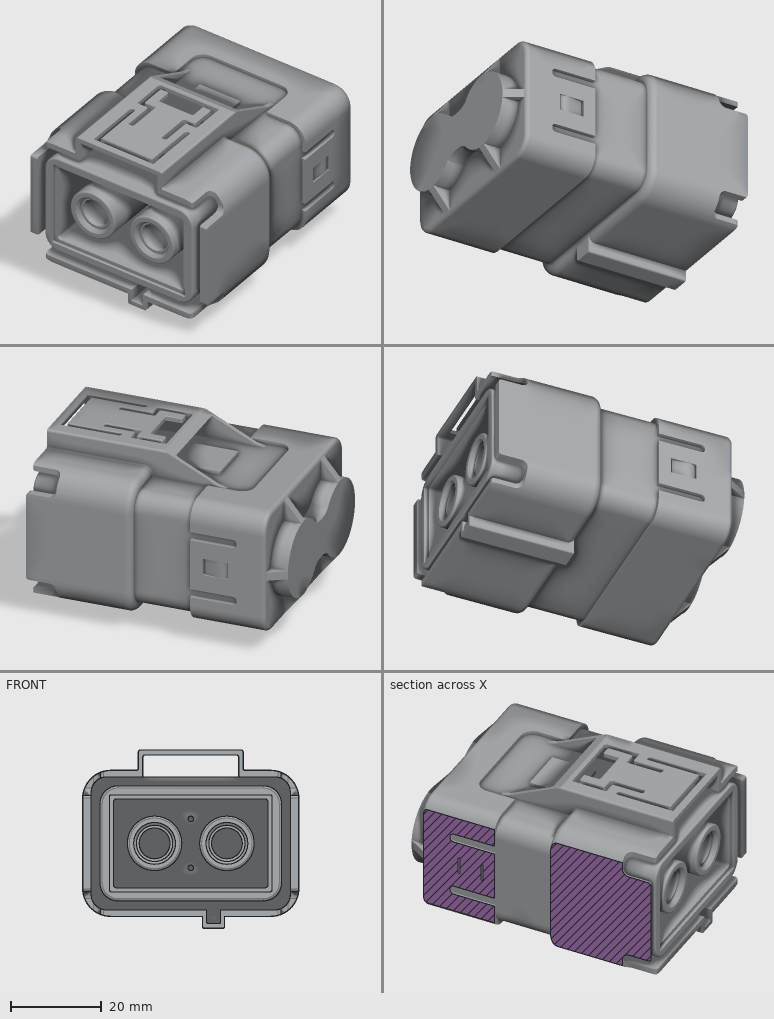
import cadquery as cq
import math


LENGTH = 60.7

SHELL_WIDTH = 47.8
SHELL_HEIGHT = 32.3
SHELL_LENGTH = 25.05
SHELL_CORNER = 6.3
SHELL_BACK_ROUND = 1.8
SHELL_GAP_WIDTH = 43.95
SHELL_GAP_HEIGHT = 29.4
SHELL_GAP_CORNER = 3.4
SHELL_GAP_DEPTH = 13.0

NOTCH_X = 19.9
NOTCH_Z = 10.6
NOTCH_DEPTH = 7.05
NOTCH_ROUND = 1.6
NOTCH_LIP_ROUND = 0.6

BODY_WIDTH = 43.95
BODY_HEIGHT = 27.45
BODY_CORNER = 3.95

TUBE_WIDTH = 40.05
TUBE_HEIGHT = 25.4
TUBE_CORNER = 3.95
TUBE_ROUND = 0.5
MOUTH_WIDTH = 35.95
MOUTH_HEIGHT = 21.35
MOUTH_DEPTH = 0.8
MOUTH_CORNER = 0.35
CAVITY_WIDTH = 34.1
CAVITY_HEIGHT = 19.65
CAVITY_CORNER = 0.7
CAVITY_DEPTH = SHELL_LENGTH

CONTACT_X = 7.98
CONTACT_DIAMETER = 12.0
CONTACT_FRONT = 1.2
CONTACT_ROUND = 0.4
SOCKET_DIAMETER = 8.0
SOCKET_DEPTH = 1.2
SOCKET_CHAMFER = 0.6
BORE_DIAMETER = 6.8
HOLE_DIAMETER = 1.2
HOLE_Z = 5.4
HOLE_DEPTH = 1.2

CAP_WIDTH = 46.15
CAP_HEIGHT = 29.4
CAP_FRONT = 38.7
CAP_BACK = 56.6
CAP_CORNER = 4.5
CAP_BACK_ROUND = 1.0
CAP_POCKET_WIDTH = 25.25
CAP_POCKET_BACK = 48.75
CAP_POCKET_CORNER = 3.05
CAP_SLOT_BACK = 49.85
CAP_SLOT_WIDTH = 2.0
CAP_SLOT_ROUND = 0.9
CAP_SLOT_Z = 7.05
WINDOW_FRONT = 41.7
WINDOW_BACK = 47.85
WINDOW_HEIGHT = 4.0
TOOTH_FRONT = 42.1
TOOTH_CREST = 45.45
TOOTH_BACK = 47.45
TOOTH_FRONT_HEIGHT = 0.5
TOOTH_HEIGHT = 1.0
TOOTH_BACK_HEIGHT = 0.65

OUTLET_X = 10.775
OUTLET_RADIUS = 9.0
WEB_FLAT_WIDTH = 1.2
WEB_HEIGHT = 9.2
WEB_WIDTH = 7.4
GUSSET_WIDTH = 2.0
GUSSET_SIDE_FOOT = 2.55
GUSSET_TOP_FOOT = 5.1

BRIDGE_WIDTH = 23.2
BRIDGE_TOP = 20.65
BRIDGE_WALL = 1.05
BRIDGE_PLATE = 1.15
BRIDGE_PLATE_END = 27.9
BRIDGE_WALL_END = 42.8
BRIDGE_BEND_Y = 40.55
BRIDGE_BEND_Z = 14.5
BRIDGE_WALL_BOTTOM = 13.95
PASSAGE_SILL_BACK = 17.25
BRIDGE_EDGE_ROUND = 0.55
BRIDGE_INNER_ROUND = 0.5
BRIDGE_FOOT_ROUND = 0.4

PAD_WIDTH = 10.9
PAD_FRONT = 27.85
PAD_TOP = 14.7

LATCH_HALF_WIDTH = 8.0
LATCH_GAP = 1.15
HEAD_BACK = 26.9
HEAD_FRONT = 18.45
EAR_BACK = 25.7
EAR_FRONT = 19.4
EAR_OUTER_X = 6.85
EAR_INNER_X = 4.6
HEAD_EDGE = 21.8
NECK_OUTER_X = 5.1
NECK_INNER_X = 3.8
NECK_FRONT = 10.85
FRAME_FRONT = 1.9
FRAME_BACK = 16.0
HEAD_CORNER = 0.35
FRAME_END_ROUND = 0.5
LATCH_EDGE_CHAMFER = 0.2

KEY_X = 5.05
KEY_WIDTH = 4.9
KEY_BOTTOM = -18.75
KEY_WALL = 0.9
KEY_FLOOR = 1.05
KEY_OUTER_ROUND = 0.4
KEY_INNER_ROUND = 0.4

SIDES = (-1, 1)
SELECT_MARGIN = 0.05
SHELL_TOP = SHELL_HEIGHT / 2
BODY_TOP = BODY_HEIGHT / 2


def block(x0, x1, y0, y1, z0, z1):
    return cq.Workplane("XY").box(x1 - x0, y1 - y0, z1 - z0, centered=False).translate((x0, y0, z0))


def sleeve(width, height, corner, y0, y1):
    """Rounded rectangle centred on the Y axis, from y0 to y1."""
    return block(-width / 2, width / 2, y0, y1, -height / 2, height / 2).edges("|Y").fillet(corner)


def rod(diameter, x, z, y0, y1):
    """Round bar along Y."""
    return cq.Workplane("XZ", origin=(x, y0, z)).circle(diameter / 2).extrude(y0 - y1)


def edges_near(x0, x1, y0, y1, z0, z1):
    """Selector for edges whose centre lies in the given box, widened by a small margin."""
    low = [min(pair) - SELECT_MARGIN for pair in ((x0, x1), (y0, y1), (z0, z1))]
    high = [max(pair) + SELECT_MARGIN for pair in ((x0, x1), (y0, y1), (z0, z1))]
    return cq.selectors.BoxSelector(low, high)


def make_notch(side_x, side_z):
    """Cutter for one shell corner, with its two rear edges rounded."""
    cutter = block(NOTCH_X, SHELL_WIDTH / 2, 0, NOTCH_DEPTH, NOTCH_Z, SHELL_TOP)
    cutter = cutter.faces(">Y").edges("<X or <Z").fillet(NOTCH_ROUND)
    if side_x < 0:
        cutter = cutter.mirror("YZ")
    if side_z < 0:
        cutter = cutter.mirror("XY")
    return cutter


def make_shell():
    shell = sleeve(SHELL_WIDTH, SHELL_HEIGHT, SHELL_CORNER, 0, SHELL_LENGTH)
    shell = shell.faces(">Y").edges().fillet(SHELL_BACK_ROUND)
    shell = shell.union(make_bridge())
    half = BRIDGE_WIDTH / 2
    foot = edges_near(-half, half, 0, SHELL_LENGTH, SHELL_TOP, SHELL_TOP)
    shell = shell.edges("|Y").edges(foot).fillet(BRIDGE_FOOT_ROUND)
    key = block(KEY_X - KEY_WIDTH / 2, KEY_X + KEY_WIDTH / 2, 0, SHELL_LENGTH, KEY_BOTTOM, -BODY_TOP)
    shell = shell.union(key.faces("<Z").edges("|Y").fillet(KEY_OUTER_ROUND))
    shell = shell.cut(sleeve(SHELL_GAP_WIDTH, SHELL_GAP_HEIGHT, SHELL_GAP_CORNER, 0, SHELL_GAP_DEPTH))
    key_half = KEY_WIDTH / 2 - KEY_WALL
    groove = block(KEY_X - key_half, KEY_X + key_half, 0, SHELL_GAP_DEPTH, KEY_BOTTOM + KEY_FLOOR, 0)
    shell = shell.cut(groove.faces("<Z").edges("|Y").fillet(KEY_INNER_ROUND))
    for side_x in SIDES:
        for side_z in SIDES:
            shell = shell.cut(make_notch(side_x, side_z))
    return round_notch_lips(shell)


def round_notch_lips(shell):
    """Round the front corners left between the notches and the mating face."""
    inner_x = SHELL_GAP_WIDTH / 2
    inner_z = SHELL_GAP_HEIGHT / 2 - NOTCH_LIP_ROUND
    for side_x in SIDES:
        for side_z in SIDES:
            x = side_x * NOTCH_X
            z = side_z * NOTCH_Z
            across_z = edges_near(x, x, 0, 0, side_z * inner_z, side_z * SHELL_TOP)
            across_x = edges_near(side_x * inner_x, side_x * SHELL_WIDTH / 2, 0, 0, z, z)
            shell = shell.edges(across_z + across_x).fillet(NOTCH_LIP_ROUND)
    return shell


def make_bridge():
    """Solid bridge whose rear part hangs clear of the body; the passage under it is cut later."""
    profile = [
        (0, 0),
        (0, BRIDGE_TOP),
        (BRIDGE_PLATE_END, BRIDGE_TOP),
        (BRIDGE_BEND_Y, BRIDGE_BEND_Z),
        (BRIDGE_WALL_END, BRIDGE_WALL_BOTTOM),
        (SHELL_LENGTH, BRIDGE_WALL_BOTTOM),
        (SHELL_LENGTH, 0),
    ]
    half = BRIDGE_WIDTH / 2
    bridge = cq.Workplane("YZ", origin=(-half, 0, 0)).polyline(profile).close().extrude(BRIDGE_WIDTH)
    return bridge.faces(">Z").edges("|Y").fillet(BRIDGE_EDGE_ROUND)


def make_passage():
    """Opening under the bridge plate, deeper behind a sill at the bottom of the shell gap."""
    half = BRIDGE_WIDTH / 2 - BRIDGE_WALL
    ceiling = BRIDGE_TOP - BRIDGE_PLATE
    passage = block(-half, half, 0, BRIDGE_WALL_END, SHELL_GAP_HEIGHT / 2, ceiling)
    passage = passage.faces(">Z").edges("|Y").fillet(BRIDGE_INNER_ROUND)
    rear = block(-half, half, PASSAGE_SILL_BACK, BRIDGE_WALL_END, BODY_TOP, ceiling - BRIDGE_INNER_ROUND)
    return passage.union(rear)


def make_latch_cut():
    """Gaps around the latch tongue: a T-shaped head gap and a U-shaped frame gap."""
    right = [
        (EAR_INNER_X, HEAD_EDGE),
        (EAR_INNER_X, EAR_BACK),
        (EAR_OUTER_X, EAR_BACK),
        (EAR_OUTER_X, EAR_FRONT),
        (NECK_INNER_X, EAR_FRONT),
        (NECK_INNER_X, NECK_FRONT),
        (NECK_OUTER_X, NECK_FRONT),
        (NECK_OUTER_X, HEAD_FRONT),
        (LATCH_HALF_WIDTH, HEAD_FRONT),
        (LATCH_HALF_WIDTH, HEAD_BACK),
    ]
    outline = right + [(-x, y) for x, y in reversed(right)]
    bottom = BRIDGE_TOP - BRIDGE_PLATE
    head = cq.Workplane("XY", origin=(0, 0, bottom)).polyline(outline).close().extrude(BRIDGE_PLATE)
    head = head.edges("|Z").fillet(HEAD_CORNER)
    inner = LATCH_HALF_WIDTH - LATCH_GAP
    frame = block(-LATCH_HALF_WIDTH, LATCH_HALF_WIDTH, FRAME_FRONT, FRAME_BACK, bottom, BRIDGE_TOP)
    frame = frame.cut(block(-inner, inner, FRAME_FRONT + LATCH_GAP, FRAME_BACK, bottom, BRIDGE_TOP))
    frame = frame.faces(">Y").edges("|Z").fillet(FRAME_END_ROUND)
    return head.union(frame)


def make_cap():
    cap = sleeve(CAP_WIDTH, CAP_HEIGHT, CAP_CORNER, CAP_FRONT, CAP_BACK)
    cap = cap.faces(">Y").edges().fillet(CAP_BACK_ROUND)
    half = CAP_POCKET_WIDTH / 2
    pocket = block(-half, half, CAP_FRONT, CAP_POCKET_BACK, BODY_TOP, CAP_HEIGHT)
    cap = cap.cut(pocket.faces(">Y").edges("|Z").fillet(CAP_POCKET_CORNER))
    for side in SIDES:
        outer = side * CAP_WIDTH / 2
        floor = side * BODY_WIDTH / 2
        x0, x1 = min(outer, floor), max(outer, floor)
        for z in (-CAP_SLOT_Z, CAP_SLOT_Z):
            half = CAP_SLOT_WIDTH / 2
            slot = block(x0, x1, CAP_FRONT, CAP_SLOT_BACK, z - half, z + half)
            cap = cap.cut(slot.faces(">Y").edges("|X").fillet(CAP_SLOT_ROUND))
        half = WINDOW_HEIGHT / 2
        cap = cap.cut(block(x0, x1, WINDOW_FRONT, WINDOW_BACK, -half, half))
        cap = cap.union(make_tooth(side))
    return cap


def make_tooth(side):
    """Latch tooth seen in the cap window, rounded down towards the cable end."""
    base = BODY_WIDTH / 2
    tooth = (
        cq.Workplane("XY", origin=(0, 0, -WINDOW_HEIGHT / 2))
        .moveTo(base, TOOTH_BACK)
        .lineTo(base, TOOTH_FRONT)
        .lineTo(base + TOOTH_FRONT_HEIGHT, TOOTH_FRONT)
        .lineTo(base + TOOTH_HEIGHT, TOOTH_CREST)
        .tangentArcPoint((base + TOOTH_BACK_HEIGHT, TOOTH_BACK), relative=False)
        .close()
        .extrude(WINDOW_HEIGHT)
    )
    return tooth if side > 0 else tooth.mirror("YZ")


def gusset(x, direction, foot):
    """Triangular rib leaning on an outlet; direction is its turn about Y in degrees."""
    rib = (
        cq.Workplane("XY", origin=(0, 0, -GUSSET_WIDTH / 2))
        .polyline([
            (0, CAP_BACK),
            (OUTLET_RADIUS + foot, CAP_BACK),
            (OUTLET_RADIUS, LENGTH),
            (0, LENGTH),
        ])
        .close()
        .extrude(GUSSET_WIDTH)
    )
    return rib.rotate((0, 0, 0), (0, 1, 0), direction).translate((x, 0, 0))


def make_outlets():
    """Two round outlets joined by a web that flares from a narrow flat up to both circles."""
    edge_x = WEB_WIDTH / 2
    edge_z = math.sqrt(OUTLET_RADIUS**2 - (OUTLET_X - edge_x) ** 2)
    flat = WEB_FLAT_WIDTH / 2
    top = WEB_HEIGHT / 2
    upper_web = (
        cq.Workplane("XZ", origin=(0, CAP_BACK, 0))
        .moveTo(0, 0)
        .lineTo(0, top)
        .lineTo(flat, top)
        .tangentArcPoint((edge_x, edge_z), relative=False)
        .lineTo(OUTLET_X, 0)
        .close()
        .extrude(CAP_BACK - LENGTH)
    )
    upper_web = upper_web.union(upper_web.mirror("YZ"))
    outlets = upper_web.union(upper_web.mirror("XY"))
    for side in SIDES:
        outlets = outlets.union(rod(2 * OUTLET_RADIUS, side * OUTLET_X, 0, CAP_BACK, LENGTH))
    for side in SIDES:
        x = side * OUTLET_X
        outlets = outlets.union(gusset(x, 90 - side * 90, GUSSET_SIDE_FOOT))
        for turn in (90, -90):
            outlets = outlets.union(gusset(x, turn, GUSSET_TOP_FOOT))
    return outlets


def make_tube():
    tube = sleeve(TUBE_WIDTH, TUBE_HEIGHT, TUBE_CORNER, 0, SHELL_LENGTH)
    return tube.faces("<Y").edges().fillet(TUBE_ROUND)


def make_contact(x):
    contact = rod(CONTACT_DIAMETER, x, 0, CONTACT_FRONT, CAVITY_DEPTH)
    contact = contact.faces("<Y").edges().fillet(CONTACT_ROUND)
    socket = rod(SOCKET_DIAMETER, x, 0, CONTACT_FRONT, CONTACT_FRONT + SOCKET_DEPTH)
    contact = contact.cut(socket).cut(rod(BORE_DIAMETER, x, 0, CONTACT_FRONT, CAVITY_DEPTH))
    mouth = cq.selectors.RadiusNthSelector(0)
    return contact.faces("<Y").edges("%CIRCLE").edges(mouth).chamfer(SOCKET_CHAMFER)


result = make_shell()
result = result.union(sleeve(BODY_WIDTH, BODY_HEIGHT, BODY_CORNER, SHELL_GAP_DEPTH, CAP_FRONT))
result = result.union(make_cap()).union(make_outlets())
result = result.cut(make_passage()).cut(make_latch_cut())
latch_rim = edges_near(-LATCH_HALF_WIDTH, LATCH_HALF_WIDTH, FRAME_FRONT, HEAD_BACK, BRIDGE_TOP, BRIDGE_TOP)
result = result.edges(latch_rim).chamfer(LATCH_EDGE_CHAMFER)
result = result.union(make_tube())
result = result.union(block(-PAD_WIDTH / 2, PAD_WIDTH / 2, PAD_FRONT, CAP_FRONT, 0, PAD_TOP))
result = result.cut(sleeve(MOUTH_WIDTH, MOUTH_HEIGHT, MOUTH_CORNER, 0, MOUTH_DEPTH))
result = result.cut(sleeve(CAVITY_WIDTH, CAVITY_HEIGHT, CAVITY_CORNER, 0, CAVITY_DEPTH))
for side in SIDES:
    result = result.union(make_contact(side * CONTACT_X))
    result = result.cut(rod(HOLE_DIAMETER, 0, side * HOLE_Z, CAVITY_DEPTH, CAVITY_DEPTH + HOLE_DEPTH))